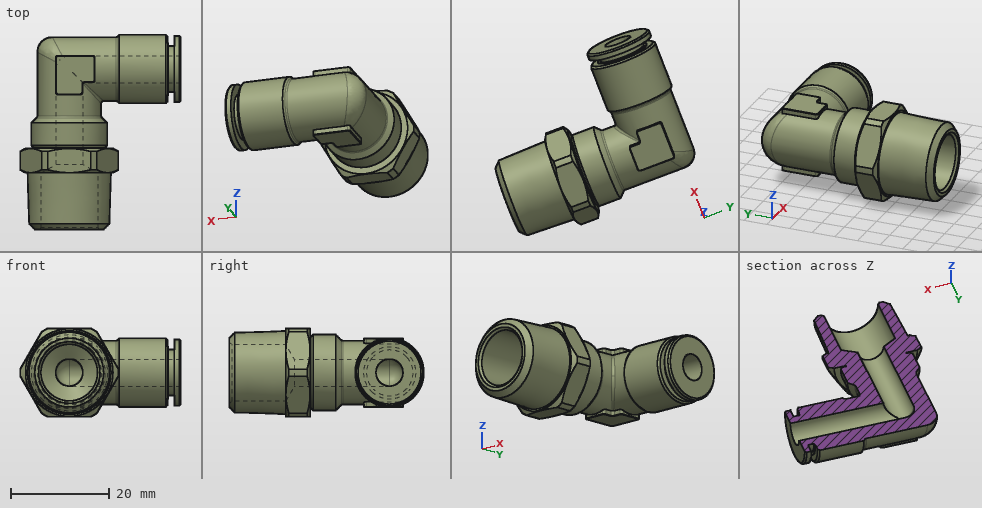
import cadquery as cq
import math


TUBE_RADIUS = 13.0 / 2
OUTER_BEND_FILLET = 3.0
INNER_BEND_FILLET = 0.5
SHOULDER_FILLET = 0.5

COLLAR_RADIUS = 15.5 / 2
COLLAR_START = 10.95
COLLAR_END = 16.0
COLLAR_CHAMFER = 0.5
NECK_RADIUS = 12.9 / 2
HEX_START = 16.1
HEX_LENGTH = 5.0
HEX_ACROSS_FLATS = 18.0
HEX_CORNER_RADIUS = 10.0
HEX_FACE_RADIUS = 17.8 / 2
HEX_CHAMFER_ANGLE = 30.0
THREAD_LENGTH = 11.5
THREAD_TIP_RADIUS = 13.96 / 2
THREAD_TIP_CHAMFER = 1.2
THREAD_TAPER = 1 / 16

SOCKET_RADIUS = 14.0 / 2
SOCKET_START = 10.2
SOCKET_END = 20.0
SOCKET_CHAMFER = 0.4
LIP_RADIUS = 10.6 / 2
LIP_LENGTH = 0.13
RELEASE_NECK_RADIUS = 9.4 / 2
RELEASE_RADIUS = 13.5 / 2
RELEASE_LENGTH = 1.35
RELEASE_CHAMFER = 0.35
TUBE_LEG_LENGTH = 22.7

PAD_HEIGHT = 7.0
PAD_OUTER = 2.75
PAD_REACH = 5.2
PAD_NOTCH = 2.7
PAD_CORNER_RADIUS = 0.5
PAD_EDGE_CHAMFER = 0.1

PASSAGE_RADIUS = 5.5 / 2
BORE_RADIUS = 11.5 / 2
BORE_MOUTH_CHAMFER = 0.5
BORE_CONE_ANGLE = 120.0

SELECTION_MARGIN = 0.01

HEX_END = HEX_START + HEX_LENGTH
THREAD_END = HEX_END + THREAD_LENGTH


def revolve_along_y(points):
    """Revolve (radius, distance) points about the threaded leg, distance toward -Y."""
    outline = [(radius, -distance) for radius, distance in points]
    return cq.Workplane("XY").polyline(outline).close().revolve(360, (0, 0, 0), (0, 1, 0))


def revolve_along_x(points):
    """Revolve (distance, radius) points about the tube leg."""
    return cq.Workplane("XY").polyline(points).close().revolve(360, (0, 0, 0), (1, 0, 0))


def collar_leg():
    """Elbow tube and collar of the threaded leg, down to the hexagon."""
    cone_start = COLLAR_START - (COLLAR_RADIUS - TUBE_RADIUS)
    leg = revolve_along_y([
        (0, 0),
        (TUBE_RADIUS, 0),
        (TUBE_RADIUS, cone_start),
        (COLLAR_RADIUS, COLLAR_START),
        (COLLAR_RADIUS, COLLAR_END - COLLAR_CHAMFER),
        (COLLAR_RADIUS - COLLAR_CHAMFER, COLLAR_END),
        (NECK_RADIUS, COLLAR_END),
        (NECK_RADIUS, HEX_START),
        (0, HEX_START),
    ])
    shoulder_zone = cq.selectors.BoxSelector(
        (-COLLAR_RADIUS, -cone_start - SELECTION_MARGIN, -COLLAR_RADIUS),
        (COLLAR_RADIUS, -cone_start + SELECTION_MARGIN, COLLAR_RADIUS),
    )
    return leg.edges(shoulder_zone).fillet(SHOULDER_FILLET)


def hexagon():
    """Hexagon with turned corners and a conical chamfer on both faces."""
    across_corners = HEX_ACROSS_FLATS / math.cos(math.pi / 6)
    prism = (
        cq.Workplane("XZ", origin=(0, -HEX_START, 0))
        .polygon(6, across_corners)
        .extrude(HEX_LENGTH)
    )
    chamfer = (HEX_CORNER_RADIUS - HEX_FACE_RADIUS) * math.tan(math.radians(HEX_CHAMFER_ANGLE))
    turned_blank = revolve_along_y([
        (0, HEX_START),
        (HEX_FACE_RADIUS, HEX_START),
        (HEX_CORNER_RADIUS, HEX_START + chamfer),
        (HEX_CORNER_RADIUS, HEX_END - chamfer),
        (HEX_FACE_RADIUS, HEX_END),
        (0, HEX_END),
    ])
    return prism.intersect(turned_blank)


def thread():
    """Taper thread body, widening from its chamfered tip to the hexagon."""
    chamfer_radius = THREAD_TIP_RADIUS + THREAD_TIP_CHAMFER
    taper_length = THREAD_LENGTH - THREAD_TIP_CHAMFER
    large_radius = chamfer_radius + taper_length * THREAD_TAPER / 2
    return revolve_along_y([
        (0, HEX_END),
        (large_radius, HEX_END),
        (chamfer_radius, THREAD_END - THREAD_TIP_CHAMFER),
        (THREAD_TIP_RADIUS, THREAD_END),
        (0, THREAD_END),
    ])


def tube_leg():
    """Elbow tube, socket body and release collar of the tube leg."""
    cone_start = SOCKET_START - (SOCKET_RADIUS - TUBE_RADIUS)
    release_start = TUBE_LEG_LENGTH - RELEASE_LENGTH
    leg = revolve_along_x([
        (0, 0),
        (0, TUBE_RADIUS),
        (cone_start, TUBE_RADIUS),
        (SOCKET_START, SOCKET_RADIUS),
        (SOCKET_END - SOCKET_CHAMFER, SOCKET_RADIUS),
        (SOCKET_END, SOCKET_RADIUS - SOCKET_CHAMFER),
        (SOCKET_END, LIP_RADIUS),
        (SOCKET_END + LIP_LENGTH, LIP_RADIUS),
        (SOCKET_END + LIP_LENGTH, RELEASE_NECK_RADIUS),
        (release_start, RELEASE_NECK_RADIUS),
        (release_start, RELEASE_RADIUS),
        (TUBE_LEG_LENGTH - RELEASE_CHAMFER, RELEASE_RADIUS),
        (TUBE_LEG_LENGTH, RELEASE_RADIUS - RELEASE_CHAMFER),
        (TUBE_LEG_LENGTH, 0),
    ])
    shoulder_zone = cq.selectors.BoxSelector(
        (cone_start - SELECTION_MARGIN, -SOCKET_RADIUS, -SOCKET_RADIUS),
        (cone_start + SELECTION_MARGIN, SOCKET_RADIUS, SOCKET_RADIUS),
    )
    return leg.edges(shoulder_zone).fillet(SHOULDER_FILLET)


def bend_corner():
    """Outer corner of the bend: both tubes' overlap, rounded along its mitre."""
    along_y = cq.Workplane("XZ").circle(TUBE_RADIUS).extrude(-TUBE_RADIUS)
    along_x = cq.Workplane("YZ").circle(TUBE_RADIUS).extrude(-TUBE_RADIUS)
    corner = along_y.intersect(along_x)
    mitre = corner.edges("%ELLIPSE")
    return mitre.fillet(OUTER_BEND_FILLET)


def pads():
    """L-shaped slab through the bend whose ends stand out as a pad on each side."""
    slab = (
        cq.Workplane("XY", origin=(0, 0, -PAD_HEIGHT))
        .moveTo(-PAD_OUTER, PAD_OUTER)
        .lineTo(PAD_REACH, PAD_OUTER)
        .lineTo(PAD_REACH, -PAD_NOTCH)
        .lineTo(PAD_NOTCH, -PAD_NOTCH)
        .lineTo(PAD_NOTCH, -PAD_REACH)
        .lineTo(-PAD_OUTER, -PAD_REACH)
        .close()
        .extrude(2 * PAD_HEIGHT)
    )
    rounded = slab.edges("|Z").fillet(PAD_CORNER_RADIUS)
    return rounded.faces("|Z").edges().chamfer(PAD_EDGE_CHAMFER)


def passages():
    """Bores of both legs, meeting in a ball at the crossing point."""
    cone_end = HEX_END
    half_angle = math.radians(BORE_CONE_ANGLE / 2)
    cone_start = cone_end - (BORE_RADIUS - PASSAGE_RADIUS) / math.tan(half_angle)
    threaded_bore = revolve_along_y([
        (0, 0),
        (PASSAGE_RADIUS, 0),
        (PASSAGE_RADIUS, cone_start),
        (BORE_RADIUS, cone_end),
        (BORE_RADIUS, THREAD_END - BORE_MOUTH_CHAMFER),
        (BORE_RADIUS + BORE_MOUTH_CHAMFER, THREAD_END),
        (0, THREAD_END),
    ])
    tube_bore = cq.Workplane("YZ").circle(PASSAGE_RADIUS).extrude(TUBE_LEG_LENGTH)
    ball = cq.Workplane("XY").sphere(PASSAGE_RADIUS)
    return threaded_bore.union(tube_bore).union(ball)


def fillet_inner_bend(body):
    """Round the concave mitre between the two tubes, outside the pads."""
    mitre_zone = cq.selectors.BoxSelector(
        (PAD_NOTCH, -TUBE_RADIUS, -PAD_HEIGHT),
        (TUBE_RADIUS, -PAD_NOTCH, PAD_HEIGHT),
    )
    return body.edges("%ELLIPSE").edges(mitre_zone).fillet(INNER_BEND_FILLET)


body = collar_leg().union(tube_leg()).union(pads())
body = fillet_inner_bend(body)
body = body.union(bend_corner())
body = body.union(hexagon()).union(thread())
result = body.cut(passages())